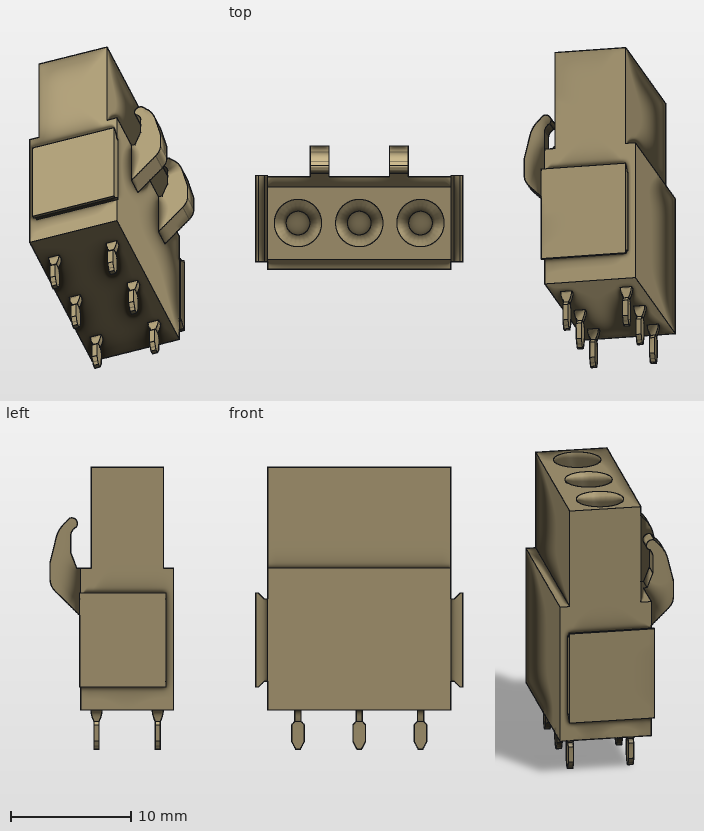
import cadquery as cq

PITCH = 5.1
POLES = 3
OVERALL_WIDTH = 17.24
OVERALL_DEPTH = 10.27
OVERALL_HEIGHT = 23.45

BODY_WIDTH = 15.25
BODY_DEPTH = 7.72
BODY_HEIGHT = 11.8
TOWER_DEPTH = 6.03
TOWER_SETBACK = 0.82

FUNNEL_TOP_RADIUS = 1.97
FUNNEL_BOTTOM_RADIUS = 0.98
FUNNEL_DEPTH = 2.35

PLATE_DEPTH = 7.18
PLATE_OVERHANG = 0.1
PLATE_BOTTOM = 1.9
PLATE_HEIGHT = 7.83
PLATE_RIM = 0.23
PLATE_BEVEL = 0.5

HOOK_WIDTH = 1.57
HOOK_SPACING = 6.6
HOOK_ROOT_Z = 7.79
HOOK_BELLY_START = (6.0, 9.9)
HOOK_BELLY_TOP_Z = 10.88
HOOK_LEAN_Z = 12.25
HOOK_BEND_START = (5.9, 14.3)
HOOK_BEND_END = (5.11, 15.6)
HOOK_TIP_START = (4.78, 15.95)
HOOK_TIP_INNERMOST = (4.13, 15.57)
HOOK_TIP_END = (4.22, 15.2)
HOOK_THROAT_MIDDLE = (4.53, 14.94)
HOOK_INNER_Y = 4.67
HOOK_THROAT_Z = 14.59
HOOK_FLARE_Z = 13.04
HOOK_FOOT_Y = 4.17

PIN_LENGTH = 3.25
PIN_THICKNESS = 0.45
PIN_ROOT_THICKNESS = 0.95
PIN_FLARE_MIDDLE = (0.4, -0.47)
PIN_NECK_WIDTH = 0.55
PIN_WIDTH = 1.08
PIN_NOSE_WIDTH = 0.65
PIN_TIP_WIDTH = 0.38
PIN_NECK_DROP = 0.94
PIN_SHOULDER_DROP = 1.25
PIN_TAPER_DROP = 2.58
PIN_NOSE_DROP = 3.0

FRONT_Y = -BODY_DEPTH / 2
BACK_Y = BODY_DEPTH / 2
HOUSING_TOP = OVERALL_HEIGHT - PIN_LENGTH
HOOK_OUTER_Y = FRONT_Y + OVERALL_DEPTH
POLE_XS = [(i - (POLES - 1) / 2) * PITCH for i in range(POLES)]
ROW_YS = [-PITCH / 2, PITCH / 2]


def make_box(width, depth, height, front_y, bottom_z):
    """Box centred on X, from its front face and its bottom."""
    box = cq.Workplane("XY").box(width, depth, height, centered=(True, False, False))
    return box.translate((0, front_y, bottom_z))


def make_side_plate():
    """Plate on the +X side: a neck on the body that bevels out to a taller rim."""
    body_x = BODY_WIDTH / 2
    outer_x = OVERALL_WIDTH / 2
    rim_x = outer_x - PLATE_RIM
    neck_x = rim_x - PLATE_BEVEL
    top = PLATE_BOTTOM + PLATE_HEIGHT
    neck_bottom = PLATE_BOTTOM + PLATE_BEVEL
    neck_top = top - PLATE_BEVEL
    profile = [
        (body_x, neck_bottom),
        (neck_x, neck_bottom),
        (rim_x, PLATE_BOTTOM),
        (outer_x, PLATE_BOTTOM),
        (outer_x, top),
        (rim_x, top),
        (neck_x, neck_top),
        (body_x, neck_top),
    ]
    plane = cq.Workplane("XZ", origin=(0, BACK_Y + PLATE_OVERHANG, 0))
    return plane.polyline(profile).close().extrude(PLATE_DEPTH)


def make_hook(center_x):
    """Curved latch hook rising from the back face, with a rounded inward tip."""
    plane = cq.Workplane("YZ", origin=(center_x - HOOK_WIDTH / 2, 0, 0))
    outline = (
        plane.moveTo(BACK_Y, HOOK_ROOT_Z)
        .lineTo(*HOOK_BELLY_START)
        .tangentArcPoint((HOOK_OUTER_Y, HOOK_BELLY_TOP_Z), relative=False)
        .lineTo(HOOK_OUTER_Y, HOOK_LEAN_Z)
        .lineTo(*HOOK_BEND_START)
        .tangentArcPoint(HOOK_BEND_END, relative=False)
        .lineTo(*HOOK_TIP_START)
        .threePointArc(HOOK_TIP_INNERMOST, HOOK_TIP_END)
        .threePointArc(HOOK_THROAT_MIDDLE, (HOOK_INNER_Y, HOOK_THROAT_Z))
        .lineTo(HOOK_INNER_Y, HOOK_FLARE_Z)
        .lineTo(HOOK_FOOT_Y, BODY_HEIGHT)
        .lineTo(BACK_Y, BODY_HEIGHT)
        .close()
    )
    return outline.extrude(HOOK_WIDTH)


def make_funnel(center_x):
    """Conical wire entry sunk into the top of the tower."""
    cone = cq.Solid.makeCone(
        FUNNEL_BOTTOM_RADIUS,
        FUNNEL_TOP_RADIUS,
        FUNNEL_DEPTH,
        pnt=cq.Vector(center_x, 0, HOUSING_TOP - FUNNEL_DEPTH),
    )
    return cq.Workplane(cone)


def make_housing():
    """Stepped body with side plates, latch hooks and one funnel per pole."""
    housing = make_box(BODY_WIDTH, BODY_DEPTH, BODY_HEIGHT, FRONT_Y, 0)
    tower_front_y = FRONT_Y + TOWER_SETBACK
    housing = housing.union(make_box(BODY_WIDTH, TOWER_DEPTH, HOUSING_TOP, tower_front_y, 0))
    plate = make_side_plate()
    housing = housing.union(plate).union(plate.mirror("YZ"))
    for side in (-1, 1):
        housing = housing.union(make_hook(side * HOOK_SPACING / 2))
    for x in POLE_XS:
        housing = housing.cut(make_funnel(x))
    return housing


def make_pin(x, y):
    """Flat solder pin hanging from the housing bottom, flared in Y at its root."""
    neck = PIN_NECK_WIDTH / 2
    blade = PIN_WIDTH / 2
    nose = PIN_NOSE_WIDTH / 2
    tip = PIN_TIP_WIDTH / 2
    right_edge = [
        (neck, 0),
        (neck, -PIN_NECK_DROP),
        (blade, -PIN_SHOULDER_DROP),
        (blade, -PIN_TAPER_DROP),
        (nose, -PIN_NOSE_DROP),
        (tip, -PIN_LENGTH),
    ]
    left_edge = [(-px, pz) for px, pz in reversed(right_edge)]
    face = cq.Workplane("XZ").polyline(right_edge + left_edge).close()
    silhouette = face.extrude(PIN_ROOT_THICKNESS / 2, both=True)

    flare_y, flare_z = PIN_FLARE_MIDDLE
    root = PIN_ROOT_THICKNESS / 2
    half = PIN_THICKNESS / 2
    flare = (
        cq.Workplane("YZ")
        .moveTo(root, 0)
        .threePointArc((flare_y, flare_z), (half, -PIN_NECK_DROP))
        .lineTo(half, -PIN_LENGTH)
        .lineTo(-half, -PIN_LENGTH)
        .lineTo(-half, -PIN_NECK_DROP)
        .threePointArc((-flare_y, flare_z), (-root, 0))
        .close()
        .extrude(PIN_WIDTH / 2, both=True)
    )
    return silhouette.intersect(flare).translate((x, y, 0))


housing = make_housing()

pins = []
for row_y in ROW_YS:
    for pole_x in POLE_XS:
        pins.append(make_pin(pole_x, row_y).val())

result = cq.Compound.makeCompound([housing.val(), *pins])